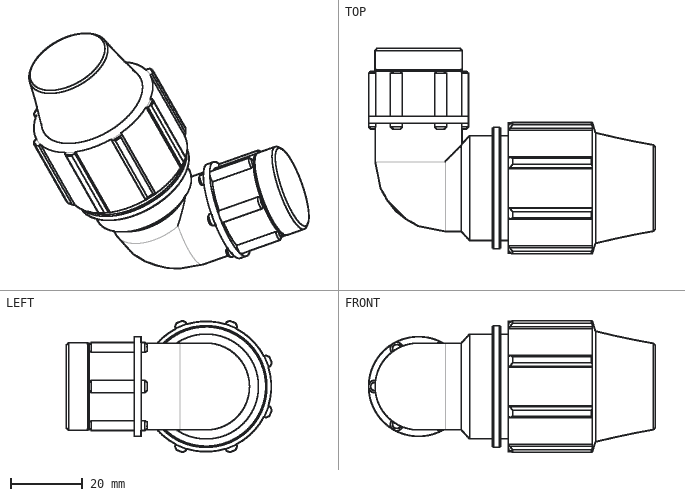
import cadquery as cq
import math


tube_radius = 24.22 / 2
bend_radius = 7.4

shoulder_start = 11.9
shoulder_radius = 29.25 / 2
shoulder_length = 2.3
shoulder_full = shoulder_start + shoulder_length
ring_start = 20.6
ring_width = 2.25
ring_radius = 33.93 / 2
ring_chamfer = 0.35
nut_start = 24.95
nut_end = 48.45
nut_radius = 18.2
nose_start = 49.3
nose_radius = 15.45
nose_tip_radius = 12.05
nose_hollow = 0.15
run_end = 66.0
tip_chamfer = 0.6

rib_count = 8
rib_height_radius = 19.48
rib_width = 3.3
rib_chamfer = 0.75
rib_start_chamfer = rib_height_radius - nut_radius
rib_end_chamfer = 0.3
rib_root_depth = 1.0
rib_root_radius = nut_radius - rib_root_depth

branch_end = 39.0
band_start = 33.0
band_radius = 12.2
band_chamfer = 0.7
groove_width = 0.45
groove_radius = 11.85
collar_start = 18.1
collar_width = 1.95
collar_radius = 27.85 / 2
peg_count = 6
peg_radius = 1.75
peg_circle_radius = collar_radius - peg_radius
peg_start = 16.45
peg_end = band_start - groove_width
peg_chamfer = 0.6


def make_bend():
    """Quarter turn whose section is the tube circle, cut off at the pivot line."""
    half_chord = math.sqrt(tube_radius**2 - bend_radius**2)
    section = (
        cq.Workplane("XZ", origin=(0, bend_radius, 0))
        .moveTo(bend_radius, -half_chord)
        .threePointArc((-tube_radius, 0), (bend_radius, half_chord))
        .close()
    )
    return section.revolve(90, (bend_radius, 0, 0), (bend_radius, 1, 0))


def make_run():
    """Turned body of the run, from the bend to the tip of the nose."""
    ring_end = ring_start + ring_width
    outline = [
        (bend_radius, 0),
        (bend_radius, tube_radius),
        (shoulder_start, tube_radius),
        (shoulder_full, shoulder_radius),
        (ring_start, shoulder_radius),
        (ring_start, ring_radius - ring_chamfer),
        (ring_start + ring_chamfer, ring_radius),
        (ring_end - ring_chamfer, ring_radius),
        (ring_end, ring_radius - ring_chamfer),
        (ring_end, shoulder_radius),
        (nut_start, shoulder_radius),
        (nut_start, nut_radius),
        (nut_end, nut_radius),
        (nose_start, nose_radius),
    ]
    nose_end = run_end - tip_chamfer
    nose_middle = ((nose_start + nose_end) / 2, (nose_radius + nose_tip_radius) / 2 - nose_hollow)
    return (
        cq.Workplane("XY")
        .polyline(outline)
        .threePointArc(nose_middle, (nose_end, nose_tip_radius))
        .lineTo(run_end, nose_tip_radius - tip_chamfer)
        .lineTo(run_end, 0)
        .close()
        .revolve(360, (0, 0, 0), (1, 0, 0))
    )


def make_rib():
    """One grip rib on top of the nut, with chamfered top corners and chamfered ends."""
    half_width = rib_width / 2
    section = [
        (-half_width, rib_root_radius),
        (-half_width, rib_height_radius - rib_chamfer),
        (-half_width + rib_chamfer, rib_height_radius),
        (half_width - rib_chamfer, rib_height_radius),
        (half_width, rib_height_radius - rib_chamfer),
        (half_width, rib_root_radius),
    ]
    side = [
        (nut_start, rib_root_radius),
        (nut_start, nut_radius),
        (nut_start + rib_start_chamfer, rib_height_radius),
        (nut_end - rib_end_chamfer, rib_height_radius),
        (nut_end, rib_height_radius - rib_end_chamfer),
        (nut_end, rib_root_radius),
    ]
    bar = cq.Workplane("YZ", origin=(nut_start, 0, 0)).polyline(section).close().extrude(nut_end - nut_start)
    outline = cq.Workplane("XZ").polyline(side).close().extrude(rib_width, both=True)
    return bar.intersect(outline)


def make_branch():
    """Turned body of the branch, from the bend to its open end."""
    collar_end = collar_start + collar_width
    profile = [
        (0, bend_radius),
        (tube_radius, bend_radius),
        (tube_radius, collar_start),
        (collar_radius, collar_start),
        (collar_radius, collar_end),
        (tube_radius, collar_end),
        (tube_radius, peg_end),
        (groove_radius, peg_end),
        (groove_radius, band_start),
        (band_radius, band_start),
        (band_radius, branch_end - band_chamfer),
        (band_radius - band_chamfer, branch_end),
        (0, branch_end),
    ]
    return cq.Workplane("XY").polyline(profile).close().revolve(360, (0, 0, 0), (0, 1, 0))


def make_peg():
    """One round peg along the branch, chamfered at both ends."""
    return (
        cq.Workplane("XZ", origin=(peg_circle_radius, peg_start, 0))
        .circle(peg_radius)
        .extrude(-(peg_end - peg_start))
        .faces("<Y or >Y")
        .chamfer(peg_chamfer)
    )


result = make_bend().union(make_run()).union(make_branch())

rib = make_rib()
for i in range(rib_count):
    angle = (i + 0.5) * 360 / rib_count
    result = result.union(rib.rotate((0, 0, 0), (1, 0, 0), angle))

peg = make_peg()
for i in range(peg_count):
    angle = i * 360 / peg_count
    result = result.union(peg.rotate((0, 0, 0), (0, 1, 0), angle))